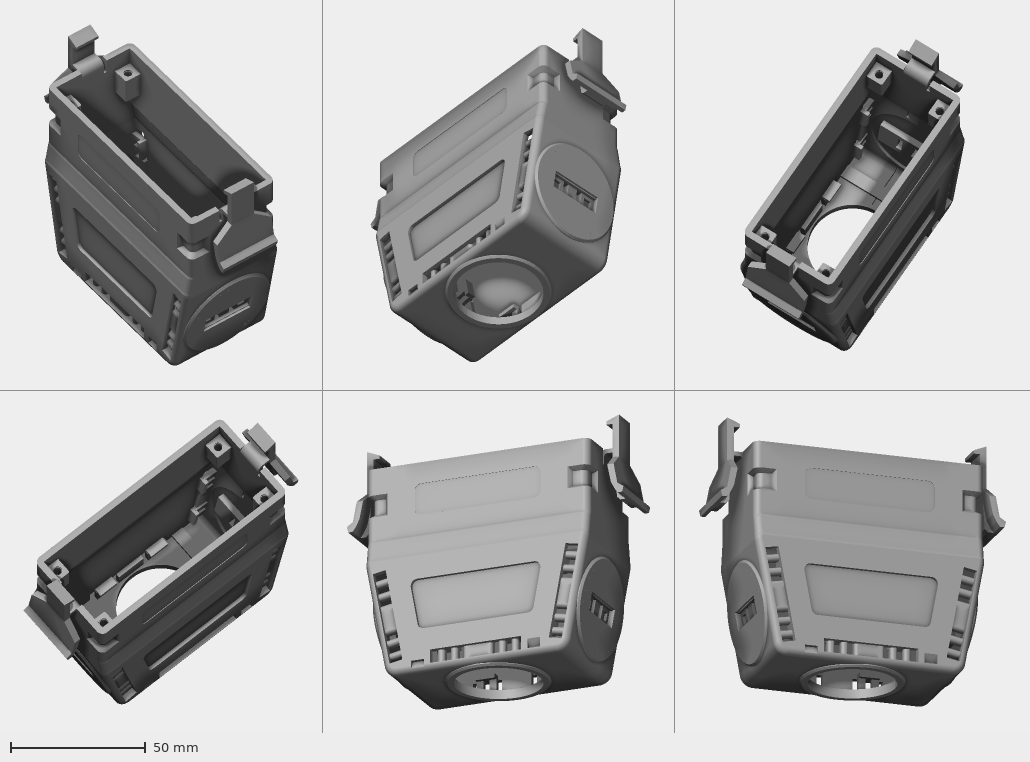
import cadquery as cq
import math

wall = 2.6
rim_z = 84.3
bottom_z = 1.0
upper_half_x = 45.0
upper_half_y = 19.6
lower_half_y = 21.5
ledge_top_z = 55.8
ledge_bottom_z = 55.0
ledge_half_y = 19.9
flare_end_z = 48.0
flare_half_y = 21.2
lower_wall_top_z = 46.9
knee_z = 45.5
lean = 10.5
edge_radius = 2.6
bottom_corner_radius = 5.3
lean_sin = math.sin(math.radians(lean))
lean_cos = math.cos(math.radians(lean))
lean_tan = math.tan(math.radians(lean))

opening_diameter = 33.5
collar_diameter = 39.6
collar_height = 1.0
collar_chamfer = 0.8
end_opening_z = 23.2
end_opening_x = upper_half_x - (knee_z - end_opening_z) * lean_tan
opening_cut_depth = 13.4

cap_thickness = 2.5
cap_slot_width = 21.4
cap_slot_height = 7.2
cap_slot_depth = 2.1
cap_slot_mouth_depth = 0.9
cap_slot_ledge = 0.5
cap_box_depth = 5.0
cap_box_wall = 1.7
cap_bar_width = 4.3
cap_window_width = 2.4
cap_dimple_size = 3.2
cap_dimple_offset = 7.6
cap_dimple_depth = 1.1

lap_depth = wall / 2
tongue_length = 2.5
groove_length = 3.2
lap_stop_radius = 18.5

latch_half_width = 5.2
notch_floor_z = 78.3
notch_half_width = 6.4

latch_outer_x = 51.0
latch_inner_x = 48.3
latch_top_z = 97.3
hook_tip_x = 45.9
hook_tip_top_z = 95.3
hook_tip_bottom_z = 94.0
bridge_bottom_z = 82.7
bridge_inner_radius = 3.2
bridge_outer_fillet = 1.0
lever_top_z = 80.6
lever_wide_z = 75.3
lever_half_width = 12.5
lever_wide_inner_x = 49.4
blade_waist_x = 50.8
blade_waist_z = 68.3
blade_foot_x = 52.3
blade_foot_z = 65.4
blade_bottom_x = 53.6
foot_inner_x = 50.2
foot_inner_z = 64.8
foot_bottom_z = 63.6
foot_bottom_inner_x = 51.5
foot_bottom_outer_x = 55.4
foot_tip_x = 56.0
foot_tip_z = 65.9
foot_bend_x = 53.5
foot_bend_z = 67.4

vent_length = 37.0
vent_width = 5.3
vent_recess = 1.6
vent_bar_width = 2.7
vent_bar_places = (9.6, 14.9)
vent_bar_overlap = 0.5
vent_panel_half_length = 4.6
vent_bar_flat_half_length = 0.1
vent_pad_width = 1.7
vent_pad_inner_y = 15.6
side_vent_x = 35.6
side_vent_z = 24.3
bottom_vent_z = bottom_z + wall + vent_width / 2

boss_size = 6.8
boss_top_z = 76.4
boss_height = 10.9
boss_fillet = 0.7
boss_hole_x = 38.8
boss_hole_y = 13.4
boss_hole_diameter = 3.0
boss_mouth_diameter = 3.4
boss_mouth_depth = 0.6
boss_hole_depth = 7.8

grip_bottom_z = 65.3
grip_top_z = 73.9
grip_reach = 8.6
grip_depth = 1.8
grip_bevel = 1.5
grip_corner_radius = 2.4

upper_label_half_x = 25.4
upper_label_bottom_z = 63.6
upper_label_top_z = 75.9
upper_label_depth = 0.2
lower_label_half_x = 26.8
lower_label_bottom_z = 17.7
lower_label_top_z = 37.6
lower_label_depth = 1.5
label_radius = 2.6

strap_x = 23.5
strap_width = 5.2
strap_reach = 5.4
strap_thickness = 1.3
notch_depth = 1.8
left_notch_bottom_z = 2.1
left_notch_top_z = 5.5
right_notch_bottom_z = 3.6
right_notch_top_z = 7.4
right_notch_slope = 2.8


length_tolerance = 0.01
mostly_aligned = 0.9
margin = 1.1


def box(x0, x1, y0, y1, z0, z1):
    return cq.Workplane("XY").box(x1 - x0, y1 - y0, z1 - z0, centered=False).translate((x0, y0, z0))


def turned(body):
    """The same body turned half a turn about the vertical axis."""
    return body.rotate((0, 0, 0), (0, 0, 1), 180)


def envelope(inset, top_z):
    """Solid bounded by the housing's outer faces moved inward by `inset`, open in height to `top_z`."""
    low_z = bottom_z + inset
    top_half_x = upper_half_x - inset
    bend_z = knee_z + inset * math.tan(math.radians(lean / 2))
    low_half_x = top_half_x - (bend_z - low_z) * lean_tan
    long_outline = [
        (-top_half_x, top_z),
        (-top_half_x, bend_z),
        (-low_half_x, low_z),
        (low_half_x, low_z),
        (top_half_x, bend_z),
        (top_half_x, top_z),
    ]
    right_side = [
        (lower_half_y - inset, low_z),
        (lower_half_y - inset, lower_wall_top_z),
        (flare_half_y - inset, flare_end_z),
        (ledge_half_y - inset, ledge_bottom_z),
        (upper_half_y - inset, ledge_top_z),
        (upper_half_y - inset, top_z),
    ]
    short_outline = right_side + [(-y, z) for y, z in reversed(right_side)]
    long_body = cq.Workplane("XZ").polyline(long_outline).close().extrude(lower_half_y, both=True)
    long_body = long_body.edges("|Y and <Z").fillet(bottom_corner_radius - inset)
    short_body = cq.Workplane("YZ").polyline(short_outline).close().extrude(upper_half_x, both=True)
    return long_body.intersect(short_body)


def opening_planes():
    """Planes on the bottom and the two end faces, each centred on an opening and facing outward."""
    planes = [cq.Plane(origin=(0, 0, bottom_z), xDir=(1, 0, 0), normal=(0, 0, -1))]
    for side in (-1, 1):
        planes.append(end_plane(side))
    return planes


def end_plane(side):
    """Outward plane on the leaning left (-1) or right (1) end face."""
    return cq.Plane(
        origin=(side * end_opening_x, 0, end_opening_z),
        xDir=(0, side, 0),
        normal=(side * lean_cos, 0, -lean_sin),
    )


def runs_along_front_or_back(edge):
    """True for the edges where the front or back face turns into an end face or the bottom."""
    direction = edge.tangentAt(0.5)
    on_bottom = abs(edge.Center().z - bottom_z) < length_tolerance
    crosses_depth = abs(direction.y) > mostly_aligned
    runs_lengthwise = abs(direction.x) > mostly_aligned
    return not crosses_depth and (on_bottom or not runs_lengthwise)


def opening_solids(diameter, bottom, top):
    """Discs on the three opening axes between two heights above the outer faces."""
    discs = cq.Workplane("XY")
    for plane in opening_planes():
        disc = cq.Workplane(plane).workplane(offset=bottom).circle(diameter / 2).extrude(top - bottom)
        discs = discs.add(disc)
    return discs.combine()


def collars():
    bodies = cq.Workplane("XY")
    for plane in opening_planes():
        collar = cq.Workplane(plane).workplane(offset=-wall / 2)
        collar = collar.circle(collar_diameter / 2).extrude(wall / 2 + collar_height)
        outer_face = cq.selectors.DirectionMinMaxSelector(plane.zDir)
        bodies = bodies.add(collar.faces(outer_face).chamfer(collar_chamfer))
    return bodies.combine()


def bosses():
    """Four blocks in the inner corners, each with a blind screw hole that widens at its mouth."""
    corner_x = upper_half_x - wall
    corner_y = upper_half_y - wall
    block = box(
        corner_x - boss_size, corner_x + wall / 2,
        corner_y - boss_size, corner_y + wall / 2,
        boss_top_z - boss_height, boss_top_z,
    )
    block = block.edges("|Z and <X and <Y").fillet(boss_fillet)
    top = cq.Workplane("XY", origin=(boss_hole_x, boss_hole_y, boss_top_z))
    block = block.cut(top.circle(boss_hole_diameter / 2).extrude(-boss_hole_depth))
    block = block.cut(top.circle(boss_mouth_diameter / 2).extrude(-boss_mouth_depth))
    pair = block.union(block.mirror("YZ"))
    return pair.union(pair.mirror("XZ"))


def rounded_section(inset):
    """Round-cornered outline of the upper housing, moved inward by `inset`."""
    section = cq.Sketch().rect(2 * (upper_half_x - inset), 2 * (upper_half_y - inset))
    return section.vertices().fillet(grip_corner_radius)


def grip_waist():
    """What the corner grips leave standing: a waist with bevels at its top and bottom."""
    wide = rounded_section(0)
    narrow = rounded_section(grip_depth)
    rise = cq.Location(cq.Vector(0, 0, grip_bevel))
    base = cq.Workplane("XY").workplane(offset=grip_bottom_z)
    middle = base.workplane(offset=grip_bevel)
    top = cq.Workplane("XY").workplane(offset=grip_top_z - grip_bevel)
    lower = base.placeSketch(wide, narrow.moved(rise)).loft()
    core = middle.placeSketch(narrow).extrude(grip_top_z - grip_bottom_z - 2 * grip_bevel)
    upper = top.placeSketch(narrow, wide.moved(rise)).loft()
    return lower.union(core).union(upper)


def corner_grips():
    """Pockets that wrap around the four upper corners."""
    x, y = upper_half_x, upper_half_y
    outline = [
        (x + margin, y + margin),
        (x - grip_reach, y + margin),
        (x - grip_reach, y),
        (x - grip_reach + grip_bevel, y - grip_depth),
        (x - grip_depth, y - grip_reach + grip_bevel),
        (x, y - grip_reach),
        (x + margin, y - grip_reach),
    ]
    base = cq.Workplane("XY").workplane(offset=grip_bottom_z)
    corner = base.polyline(outline).close().extrude(grip_top_z - grip_bottom_z)
    pair = corner.union(corner.mirror("YZ"))
    return pair.union(pair.mirror("XZ")).cut(grip_waist())


def shell():
    """Both housing halves as one plain shell, with collars, openings, bosses and corner grips."""
    outer = envelope(0, rim_z)
    edges = [edge for edge in outer.edges().vals() if runs_along_front_or_back(edge)]
    body = outer.newObject(edges).fillet(edge_radius)
    body = body.cut(envelope(wall, rim_z)).union(bosses()).union(collars())
    return body.cut(opening_solids(opening_diameter, -opening_cut_depth, collar_height)).cut(corner_grips())


def vent_plane(x, z, direction):
    """Plane on the front face: its x axis runs along the strip, its y axis points to the middle."""
    return cq.Plane(origin=(x, -lower_half_y, z), xDir=direction, normal=(0, -1, 0))


def vent_planes():
    return [
        vent_plane(0, bottom_vent_z, (1, 0, 0)),
        vent_plane(-side_vent_x, side_vent_z, (lean_sin, 0, -lean_cos)),
        vent_plane(side_vent_x, side_vent_z, (lean_sin, 0, lean_cos)),
    ]


def add_vent(body, plane):
    """Slot through the front wall, crossed by round-nosed bars and closed in its middle by a panel."""
    body = body.cut(cq.Workplane(plane).rect(vent_length, vent_width).extrude(-2 * wall))
    for place in vent_bar_places:
        for centre in (-place, place):
            body = body.union(vent_bar(plane, centre, vent_bar_flat_half_length))
    return body.union(vent_bar(plane, 0, vent_panel_half_length)).union(vent_pads(cq.Workplane(plane)))


def vent_bar(plane, centre, flat_half_length):
    """Bar across a slot; its nose is a flat of the given half length between two quarter rounds."""
    radius = vent_bar_width / 2
    half_width = flat_half_length + radius
    arc_reach = radius * (1 - math.sqrt(0.5))
    length = vent_width + 2 * vent_bar_overlap
    profile = cq.Workplane(
        cq.Plane(
            origin=plane.toWorldCoords((centre, -length / 2, -vent_recess)),
            xDir=plane.xDir,
            normal=plane.yDir,
        )
    )
    profile = profile.moveTo(-half_width, vent_bar_width).lineTo(-half_width, radius)
    profile = profile.threePointArc((-half_width + arc_reach, arc_reach), (-flat_half_length, 0))
    profile = profile.lineTo(flat_half_length, 0)
    profile = profile.threePointArc((half_width - arc_reach, arc_reach), (half_width, radius))
    return profile.lineTo(half_width, vent_bar_width).close().extrude(length)


def vent_pads(face):
    """Inner pads beside each pair of bars, along the strip's edge nearest the middle."""
    pad_start = vent_bar_places[0] - vent_bar_width / 2
    pad_end = vent_bar_places[-1] + vent_bar_width / 2
    centre = (pad_start + pad_end) / 2
    pad_centres = [(sign * centre, (vent_width + vent_pad_width) / 2) for sign in (-1, 1)]
    pads = face.workplane(offset=-wall / 2).pushPoints(pad_centres).rect(pad_end - pad_start, vent_pad_width)
    return pads.extrude(vent_pad_inner_y - lower_half_y + wall / 2)


def label_recesses():
    """Round-cornered recesses in the front wall: a shallow oblong above a deeper tapered one."""
    lower_foot_x = lower_label_half_x - (lower_label_top_z - lower_label_bottom_z) * lean_tan
    upper_corners = [
        (-upper_label_half_x, upper_label_top_z),
        (upper_label_half_x, upper_label_top_z),
        (upper_label_half_x, upper_label_bottom_z),
        (-upper_label_half_x, upper_label_bottom_z),
    ]
    lower_corners = [
        (-lower_label_half_x, lower_label_top_z),
        (lower_label_half_x, lower_label_top_z),
        (lower_foot_x, lower_label_bottom_z),
        (-lower_foot_x, lower_label_bottom_z),
    ]
    upper = label_recess(upper_corners, upper_half_y, upper_label_depth)
    return upper.union(label_recess(lower_corners, lower_half_y, lower_label_depth))


def label_recess(corners, face_y, depth):
    recess = cq.Workplane("XZ", origin=(0, -face_y, 0)).polyline(corners).close().extrude(-depth)
    return recess.edges("|Y").fillet(label_radius)


def notch(x, profile):
    """Cutter of the strap's width with a (y, z) profile."""
    left_side = cq.Workplane("YZ", origin=(x - strap_width / 2, 0, 0))
    return left_side.polyline(profile).close().extrude(strap_width)


def strap_notches():
    """Left notch with a floor that falls outward, right notch with a roof that rises outward."""
    face_y = -lower_half_y
    deep_y = face_y + notch_depth
    left = [
        (face_y, left_notch_bottom_z),
        (face_y, left_notch_top_z),
        (deep_y, left_notch_top_z),
    ]
    right = [
        (face_y, right_notch_bottom_z),
        (face_y, right_notch_top_z),
        (deep_y, right_notch_top_z - right_notch_slope),
        (deep_y, right_notch_bottom_z),
    ]
    return notch(-strap_x, left).union(notch(strap_x, right))


def floor_strap():
    floor_z = bottom_z + wall
    return box(
        -strap_x - strap_width / 2, -strap_x + strap_width / 2,
        -lower_half_y + wall, strap_reach,
        floor_z, floor_z + strap_thickness,
    )


def lap_zone(floor_length):
    """Inner layer of the left wall and floor in front of the parting plane, longer in the upper wall."""
    layer = envelope(lap_depth, notch_floor_z).cut(envelope(wall, rim_z))
    lower = box(-foot_tip_x, 0, -floor_length, 0, 0, lower_wall_top_z)
    upper = box(-foot_tip_x, 0, -latch_half_width, 0, lower_wall_top_z, notch_floor_z)
    layer = layer.intersect(lower.union(upper))
    return layer.cut(opening_solids(2 * lap_stop_radius, -opening_cut_depth, collar_height))


def rim_notch():
    """Cutter through the left wall for the latch: snug at the front, with clearance at the back."""
    return box(
        -upper_half_x - margin, -upper_half_x + wall,
        -latch_half_width, notch_half_width,
        notch_floor_z, rim_z,
    )


def latch():
    """Hook and lever on a thin bridge that springs from the rim of the left wall."""
    inner_wall_x = upper_half_x - wall
    arc_reach = bridge_inner_radius * (1 - math.sqrt(0.5))
    fillet_reach = bridge_outer_fillet * (1 - math.sqrt(0.5))
    hook = (
        cq.Workplane("XZ")
        .moveTo(-latch_outer_x, latch_top_z)
        .lineTo(-hook_tip_x, hook_tip_top_z)
        .lineTo(-hook_tip_x, hook_tip_bottom_z)
        .lineTo(-latch_inner_x, hook_tip_bottom_z)
        .lineTo(-latch_inner_x, rim_z)
        .lineTo(-inner_wall_x - bridge_inner_radius, rim_z)
        .threePointArc(
            (-inner_wall_x - arc_reach, rim_z - arc_reach),
            (-inner_wall_x, rim_z - bridge_inner_radius),
        )
        .lineTo(-inner_wall_x, notch_floor_z)
        .lineTo(-upper_half_x, notch_floor_z)
        .lineTo(-upper_half_x, bridge_bottom_z - bridge_outer_fillet)
        .threePointArc(
            (-upper_half_x - fillet_reach, bridge_bottom_z - fillet_reach),
            (-upper_half_x - bridge_outer_fillet, bridge_bottom_z),
        )
        .lineTo(-latch_inner_x, bridge_bottom_z)
        .lineTo(-latch_inner_x, lever_top_z)
        .lineTo(-latch_outer_x, lever_top_z)
        .close()
        .extrude(latch_half_width, both=True)
    )
    return hook.union(lever())


def lever():
    """Blade that widens below the hook, with a narrower rib behind it down to the foot."""
    outer_side = [
        (-foot_bottom_outer_x, foot_bottom_z),
        (-foot_tip_x, foot_tip_z),
        (-foot_bend_x, foot_bend_z),
        (-latch_outer_x, lever_top_z),
        (-latch_inner_x, lever_top_z),
        (-lever_wide_inner_x, lever_wide_z),
    ]
    blade_inner_side = [
        (-blade_waist_x, blade_waist_z),
        (-blade_foot_x, blade_foot_z),
        (-blade_bottom_x, foot_bottom_z),
    ]
    rib_inner_side = [
        (-foot_inner_x, foot_inner_z),
        (-foot_bottom_inner_x, foot_bottom_z),
    ]
    right_outline = [
        (latch_half_width, lever_top_z),
        (lever_half_width, lever_wide_z),
        (lever_half_width, foot_bottom_z),
    ]
    outline = right_outline + [(-y, z) for y, z in reversed(right_outline)]
    front = cq.Workplane("YZ").polyline(outline).close().extrude(-foot_tip_x)
    side = cq.Workplane("XZ")
    blade = side.polyline(outer_side + blade_inner_side).close().extrude(lever_half_width, both=True)
    rib = side.polyline(outer_side + rib_inner_side).close().extrude(latch_half_width, both=True)
    return blade.intersect(front).union(rib)


def housing_half():
    """Front half: carries the left latch, a groove at the left and a tongue at the right."""
    body = shell().intersect(box(-foot_tip_x, foot_tip_x, -lower_half_y, 0, 0, rim_z))
    for plane in vent_planes():
        body = add_vent(body, plane)
    body = body.cut(label_recesses()).cut(strap_notches()).union(floor_strap())
    body = body.cut(lap_zone(groove_length)).union(turned(lap_zone(tongue_length)))
    body = body.cut(rim_notch()).cut(turned(rim_notch()))
    return body.union(latch())


def cap(side):
    """Disc filling an end opening, with a stepped slot whose floor has two windows and two dimples."""
    face = cq.Workplane(end_plane(side)).workplane(offset=collar_height)
    body = face.circle(opening_diameter / 2).extrude(-cap_thickness)
    box_walls = face.rect(cap_slot_width + 2 * cap_box_wall, cap_slot_height + 2 * cap_box_wall)
    body = body.union(box_walls.extrude(-cap_box_depth))
    body = body.cut(face.rect(cap_slot_width, cap_slot_height).extrude(-cap_slot_mouth_depth))
    floor_height = cap_slot_height - 2 * cap_slot_ledge
    body = body.cut(face.rect(cap_slot_width, floor_height).extrude(-cap_slot_depth))
    window_offset = (cap_bar_width + cap_window_width) / 2
    windows = face.pushPoints([(-window_offset, 0), (window_offset, 0)])
    windows = windows.rect(cap_window_width, floor_height).extrude(-cap_box_depth)
    dimples = face.pushPoints([(-cap_dimple_offset, 0), (cap_dimple_offset, 0)])
    dimples = dimples.rect(cap_dimple_size, cap_dimple_size).extrude(-cap_slot_depth - cap_dimple_depth)
    return body.cut(windows).cut(dimples)


front_half = housing_half()
halves = [front_half, turned(front_half)]
caps = [cap(side) for side in (-1, 1)]

result = cq.Compound.makeCompound([body.solids().val() for body in halves + caps])